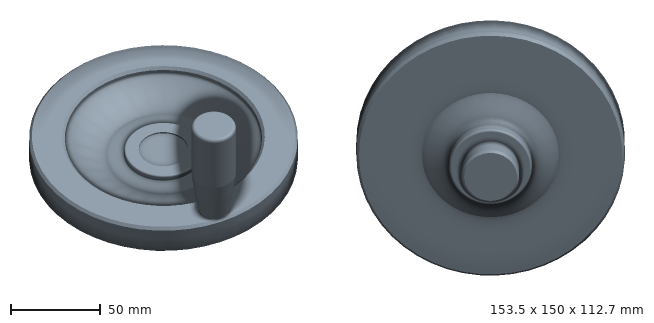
import cadquery as cq
import math

rim_diameter = 150.0
rim_radius = rim_diameter / 2
rim_top = 47.5
rim_bottom = 28.9
rim_chamfer = 1.5

dish_slope = math.radians(22.5)
dish_mouth_diameter = 110.0
dish_mouth_radius = dish_mouth_diameter / 2
dish_chamfer = 1.5
dish_wall_bottom = 43.3
dish_floor = 33.8
dish_wall_round = 1.4
dish_floor_round = 1.8
web_underside_radius = 38.2

hub_radius = 23.0
hub_bottom = 12.6
hub_edge_round = 1.2
hub_web_round = 4.6
stub_radius = 16.0
stub_chamfer = 1.2
boss_diameter = 43.7
boss_radius = boss_diameter / 2
boss_foot_round = 0.5
boss_top = 37.3
boss_edge_round = 0.9
recess_radius = 13.8
recess_depth = 0.9

overall_length = 153.5
handle_radius = 12.5
handle_x = overall_length - rim_radius - handle_radius
handle_top = 112.7
handle_top_round = 2.0
waist_height = 76.5
handle_foot_radius = 8.9
foot_round = 1.7
taper_bulge = 0.23
foot_embed = 1.5


def corner_round(before, corner, after, radius):
    """Return the start, middle and end of the tangent arc that rounds a corner."""
    start_side = cq.Vector(*before) - cq.Vector(*corner)
    end_side = cq.Vector(*after) - cq.Vector(*corner)
    half_angle = start_side.getAngle(end_side) / 2
    tangent_length = radius / math.tan(half_angle)
    middle_distance = radius / math.sin(half_angle) - radius
    bisector = (start_side.normalized() + end_side.normalized()).normalized()
    offsets = (
        start_side.normalized() * tangent_length,
        bisector * middle_distance,
        end_side.normalized() * tangent_length,
    )
    return [(corner[0] + offset.x, corner[1] + offset.y) for offset in offsets]


def make_wheel():
    """Revolve the solid half-section of rim, web, hub and boss."""
    slope = math.tan(dish_slope)
    hub_web_height = rim_bottom - (web_underside_radius - hub_radius) * slope
    floor_radius = dish_mouth_radius - (dish_wall_bottom - dish_floor) / slope

    hub_shoulder = (hub_radius, hub_bottom + hub_edge_round)
    hub_corner = (hub_radius, hub_web_height)
    web_edge = (web_underside_radius, rim_bottom)
    wall_top = (dish_mouth_radius, rim_top - dish_chamfer)
    wall_corner = (dish_mouth_radius, dish_wall_bottom)
    floor_corner = (floor_radius, dish_floor)
    boss_foot = (boss_radius, dish_floor)

    hub_start, hub_middle, hub_end = corner_round(hub_shoulder, hub_corner, web_edge, hub_web_round)
    wall_start, wall_middle, wall_end = corner_round(wall_top, wall_corner, floor_corner, dish_wall_round)
    floor_start, floor_middle, floor_end = corner_round(wall_corner, floor_corner, boss_foot, dish_floor_round)

    section = (
        cq.Workplane("XZ")
        .moveTo(0, 0)
        .lineTo(stub_radius - stub_chamfer, 0)
        .lineTo(stub_radius, stub_chamfer)
        .lineTo(stub_radius, hub_bottom)
        .lineTo(hub_radius - hub_edge_round, hub_bottom)
        .radiusArc(hub_shoulder, -hub_edge_round)
        .lineTo(*hub_start)
        .threePointArc(hub_middle, hub_end)
        .lineTo(*web_edge)
        .lineTo(rim_radius - rim_chamfer, rim_bottom)
        .lineTo(rim_radius, rim_bottom + rim_chamfer)
        .lineTo(rim_radius, rim_top - rim_chamfer)
        .lineTo(rim_radius - rim_chamfer, rim_top)
        .lineTo(dish_mouth_radius + dish_chamfer, rim_top)
        .lineTo(*wall_top)
        .lineTo(*wall_start)
        .threePointArc(wall_middle, wall_end)
        .lineTo(*floor_start)
        .threePointArc(floor_middle, floor_end)
        .lineTo(boss_radius + boss_foot_round, dish_floor)
        .radiusArc((boss_radius, dish_floor + boss_foot_round), boss_foot_round)
        .lineTo(boss_radius, boss_top - boss_edge_round)
        .radiusArc((boss_radius - boss_edge_round, boss_top), -boss_edge_round)
        .lineTo(recess_radius, boss_top)
        .lineTo(recess_radius, boss_top - recess_depth)
        .lineTo(0, boss_top - recess_depth)
        .close()
    )
    return section.revolve(360, (0, 0), (0, 1))


def make_handle():
    """Revolve the grip about its own axis, then move it onto the rim."""
    foot_shoulder = rim_top + foot_round
    taper_middle = (
        (handle_radius + handle_foot_radius) / 2 + taper_bulge,
        (waist_height + foot_shoulder) / 2,
    )
    section = (
        cq.Workplane("XZ")
        .moveTo(0, rim_top - foot_embed)
        .lineTo(handle_foot_radius - foot_round, rim_top - foot_embed)
        .lineTo(handle_foot_radius - foot_round, rim_top)
        .radiusArc((handle_foot_radius, foot_shoulder), -foot_round)
        .threePointArc(taper_middle, (handle_radius, waist_height))
        .lineTo(handle_radius, handle_top - handle_top_round)
        .radiusArc((handle_radius - handle_top_round, handle_top), -handle_top_round)
        .lineTo(0, handle_top)
        .close()
    )
    return section.revolve(360, (0, 0), (0, 1)).translate((handle_x, 0, 0))


result = make_wheel().union(make_handle())